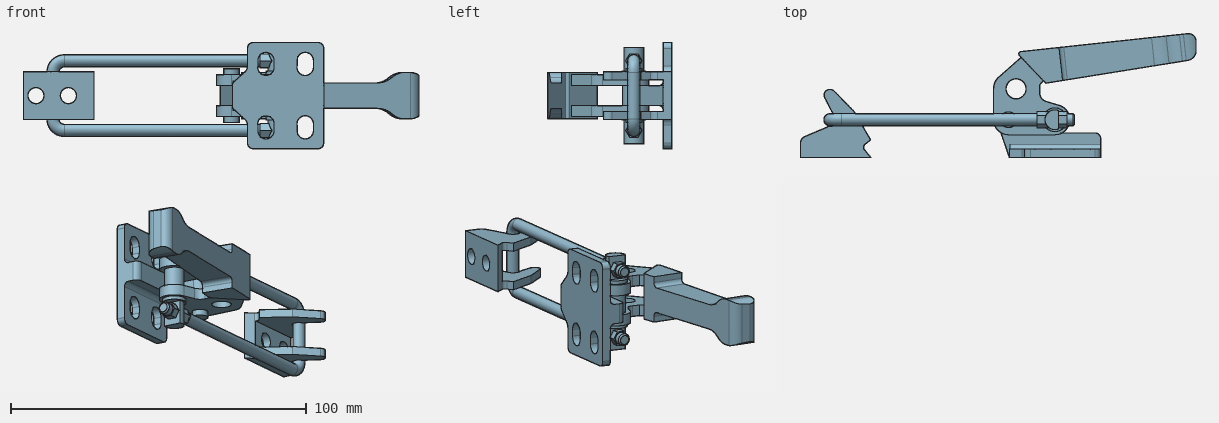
import cadquery as cq
import math

PIN_X = 70.5
BAR_X = 86.1
AXIS_Y = 12.9
PIN_RADIUS = 2.7
BAR_RADIUS = 3.3

KEEPER_WIDTH = 16.2
KEEPER_LENGTH = 24.0
KEEPER_WALL = 2.8
KEEPER_FLOOR = 3.0
KEEPER_HOLE_DIAMETER = 5.4
KEEPER_HOLE_XS = (4.3, 15.3)
KEEPER_SHOULDER_Y = 6.5
KEEPER_SHOULDER_RADIUS = 2.7
HOOK_TIP_X = 10.0
HOOK_TIP_Y = 21.2
HOOK_TIP_RADIUS = 2.0
HOOK_ROOT = (11.0, 15.0)
HOOK_BACK = (18.2, 15.7)
GROOVE_LIP = (9.2, 10.5)
GROOVE_CLEARANCE = 0.1
KEEPER_HEEL = (23.8, 6.0)
KEEPER_NOTCH = (20.9, 3.8)
KEEPER_NOTCH_RADIUS = 1.3

ROD_DIAMETER = 4.2
ROD_RADIUS = ROD_DIAMETER / 2
ROD_Z = 11.8
ROD_LEFT_X = 10.0
ROD_END_X = 92.8
ROD_BEND_RADIUS = 3.9
ROD_END_CHAMFER = 0.5
BAR_HALF_LENGTH = 16.3
BAR_FLAT_OFFSET = 1.2
COLLAR_RADIUS = 4.0
COLLAR_END_Z = 8.3
NUT_SIDES = 6
NUT_CORNER_DIAMETER = 5.5
NUT_LEFT_X = 80.1
NUT_RIGHT_X = 90.1

CHEEK_INNER_Z = 3.3
CHEEK_THICKNESS = 3.8
CHEEK_OUTER_Z = CHEEK_INNER_Z + CHEEK_THICKNESS
CHEEK_RADIUS = 5.1
CHEEK_TOP = (74.7, 34.0)
CHEEK_CORNER_Y = 25.7
CHEEK_CORNER_RADIUS = 5.1
CHEEK_THROAT_X = 81.0
CHEEK_THROAT_TOP = (82.5, 26.4)
CHEEK_THROAT_BEND_Y = 24.6
CHEEK_THROAT_RADIUS = 3.0
CHEEK_THROAT_SLOPE = 17.0
CHEEK_HOLE_DIAMETER = 6.7
CHEEK_HOLE_X = 73.0
CHEEK_HOLE_Y = 23.3

HANDLE_END_X = 133.9
HANDLE_TIP_TOP_Y = 42.3
HANDLE_FRONT = (73.0, 35.8)
HANDLE_FRONT_RADIUS = 0.8
HANDLE_HEEL = (83.0, 25.2)
HANDLE_TIP_BOTTOM_Y = 33.3
TIP_TOP_RADIUS = 2.7
TIP_BOTTOM_RADIUS = 3.5
HANDLE_HALF_WIDTH = 7.9
GRIP_HALF_WIDTH = 4.3
HEAD_LENGTH = 14.6
HEAD_FILLET = 1.6
FLARE_START = 46.1
FLARE_MIDDLE = 51.0
FLARE_MIDDLE_HALF_WIDTH = 6.2
FLARE_END = 55.6
TIP_ROUND_START = 56.9
TIP_HALF_WIDTH = 6.3

PLATE_LEFT_X = 75.8
PLATE_RIGHT_X = 101.7
PLATE_WIDTH = 36.0
PLATE_THICKNESS = 3.0
PLATE_CORNER_RADIUS = 2.0
NOSE_X = 70.7
NOSE_HALF_WIDTH = 4.2
NECK_HALF_WIDTH = 8.8
NECK_FILLET = 2.7
SLOT_WIDTH = 5.5
SLOT_LENGTH = 7.8
SLOT_XS = (82.1, 95.4)
SLOT_Z = 10.7
WEB_HALF_THICKNESS = CHEEK_INNER_Z
WEB_TOP_Y = 8.5
WEB_CORNER_RADIUS = 2.0
WEB_FILLET = 1.6
WEB_FILLET_LEFT_X = 71.0
EAR_RADIUS = 3.9
PIN_HALF_LENGTH = 9.1


def between_z(outline, z_start, z_end):
    """Extrude a closed XY outline between two Z levels."""
    return outline.extrude(z_end - z_start).translate((0, 0, z_start))


def fillet_z_edge(body, point, radius):
    """Round the edge along Z nearest to an XY point."""
    return body.edges("|Z").edges(cq.NearestToPointSelector((*point, 0))).fillet(radius)


def fillet_y_edge(plate, point, radius):
    """Round the edge along Y nearest to an XZ point of the mounting plate."""
    nearest = cq.NearestToPointSelector((point[0], PLATE_THICKNESS / 2, point[1]))
    return plate.edges("|Y").edges(nearest).fillet(radius)


def z_cylinder(x, y, radius, z_start, z_end):
    return between_z(cq.Workplane("XY").center(x, y).circle(radius), z_start, z_end)


def z_shaft(x, y, radius, half_length):
    """Cylinder along Z, centred on the middle plane."""
    return z_cylinder(x, y, radius, -half_length, half_length)


def tangent_point(center, radius, point, side):
    """Point where a line from `point` touches a circle; side is +1 or -1 for the two tangents."""
    dx = point[0] - center[0]
    dy = point[1] - center[1]
    angle = math.atan2(dy, dx) + side * math.acos(radius / math.hypot(dx, dy))
    return center[0] + radius * math.cos(angle), center[1] + radius * math.sin(angle)


def make_keeper():
    half_width = KEEPER_WIDTH / 2
    hook_tip = (HOOK_TIP_X, HOOK_TIP_Y)
    tip_left = tangent_point(hook_tip, HOOK_TIP_RADIUS, HOOK_ROOT, -1)
    tip_right = tangent_point(hook_tip, HOOK_TIP_RADIUS, HOOK_BACK, 1)
    profile = (
        cq.Workplane("XY")
        .polyline([(0, 0), (0, KEEPER_SHOULDER_Y), GROOVE_LIP, HOOK_ROOT, tip_left])
        .threePointArc((HOOK_TIP_X, HOOK_TIP_Y + HOOK_TIP_RADIUS), tip_right)
        .lineTo(*HOOK_BACK)
        .lineTo(*KEEPER_HEEL)
        .lineTo(*KEEPER_NOTCH)
        .lineTo(KEEPER_LENGTH, 0)
        .close()
    )
    keeper = between_z(profile, -half_width, half_width)
    keeper = fillet_z_edge(keeper, (0, KEEPER_SHOULDER_Y), KEEPER_SHOULDER_RADIUS)
    keeper = fillet_z_edge(keeper, KEEPER_NOTCH, KEEPER_NOTCH_RADIUS)

    groove_x = ROD_LEFT_X + GROOVE_CLEARANCE
    groove_radius = ROD_RADIUS + GROOVE_CLEARANCE
    keeper = keeper.cut(z_shaft(groove_x, AXIS_Y, groove_radius, half_width))
    channel = (
        cq.Workplane("XY")
        .box(KEEPER_LENGTH, HOOK_TIP_Y, KEEPER_WIDTH - 2 * KEEPER_WALL, centered=(False, False, True))
        .translate((0, KEEPER_FLOOR, 0))
    )
    holes = (
        cq.Workplane("XZ")
        .pushPoints([(x, 0) for x in KEEPER_HOLE_XS])
        .circle(KEEPER_HOLE_DIAMETER / 2)
        .extrude(-KEEPER_FLOOR)
    )
    return keeper.cut(channel).cut(holes)


def make_bail():
    bend_x = ROD_LEFT_X + ROD_BEND_RADIUS
    bend_z = ROD_Z - ROD_BEND_RADIUS
    diagonal = ROD_BEND_RADIUS * math.sqrt(0.5)
    path = (
        cq.Workplane("XZ", origin=(0, AXIS_Y, 0))
        .moveTo(ROD_END_X, ROD_Z)
        .lineTo(bend_x, ROD_Z)
        .threePointArc((bend_x - diagonal, bend_z + diagonal), (ROD_LEFT_X, bend_z))
        .lineTo(ROD_LEFT_X, -bend_z)
        .threePointArc((bend_x - diagonal, -bend_z - diagonal), (bend_x, -ROD_Z))
        .lineTo(ROD_END_X, -ROD_Z)
    )
    rod = cq.Workplane("YZ", origin=(ROD_END_X, AXIS_Y, ROD_Z)).circle(ROD_RADIUS).sweep(path)
    rod = rod.faces(">X").chamfer(ROD_END_CHAMFER)

    flat_x = BAR_X + BAR_FLAT_OFFSET
    bar = z_shaft(BAR_X, AXIS_Y, BAR_RADIUS, BAR_HALF_LENGTH)
    for side in (-1, 1):
        milled = cq.Workplane("XY").box(BAR_RADIUS, 2 * BAR_RADIUS, BAR_HALF_LENGTH - COLLAR_END_Z)
        middle_z = side * (BAR_HALF_LENGTH + COLLAR_END_Z) / 2
        bar = bar.cut(milled.translate((flat_x + BAR_RADIUS / 2, AXIS_Y, middle_z)))
        inner_z, outer_z = sorted((side * CHEEK_OUTER_Z, side * COLLAR_END_Z))
        bar = bar.union(z_cylinder(BAR_X, AXIS_Y, COLLAR_RADIUS, inner_z, outer_z))

    bail = rod.union(bar)
    for side in (-1, 1):
        for start_x, end_x in ((NUT_LEFT_X, BAR_X), (flat_x, NUT_RIGHT_X)):
            nut = (
                cq.Workplane("YZ", origin=(start_x, AXIS_Y, side * ROD_Z))
                .polygon(NUT_SIDES, NUT_CORNER_DIAMETER)
                .extrude(end_x - start_x)
            )
            bail = bail.union(nut)
    return bail


def make_cheeks():
    """Two parallel plates that carry the pivot pin and the trunnion bar."""
    slope = math.radians(CHEEK_THROAT_SLOPE)
    boss_x = BAR_X + CHEEK_RADIUS * math.sin(slope)
    boss_y = AXIS_Y + CHEEK_RADIUS * math.cos(slope)
    throat_y = boss_y + (boss_x - CHEEK_THROAT_X) * math.tan(slope)
    left_x = PIN_X - CHEEK_RADIUS
    bottom_y = AXIS_Y - CHEEK_RADIUS
    diagonal = CHEEK_RADIUS * math.sqrt(0.5)
    outline = (
        cq.Workplane("XY")
        .moveTo(left_x, AXIS_Y)
        .lineTo(left_x, CHEEK_CORNER_Y)
        .lineTo(*CHEEK_TOP)
        .lineTo(*CHEEK_THROAT_TOP)
        .lineTo(CHEEK_THROAT_X, CHEEK_THROAT_BEND_Y)
        .lineTo(CHEEK_THROAT_X, throat_y)
        .lineTo(boss_x, boss_y)
        .threePointArc((BAR_X + diagonal, AXIS_Y - diagonal), (BAR_X, bottom_y))
        .lineTo(PIN_X, bottom_y)
        .threePointArc((PIN_X - diagonal, AXIS_Y - diagonal), (left_x, AXIS_Y))
        .close()
    )
    block = between_z(outline, -CHEEK_OUTER_Z, CHEEK_OUTER_Z)
    block = fillet_z_edge(block, (left_x, CHEEK_CORNER_Y), CHEEK_CORNER_RADIUS)
    block = fillet_z_edge(block, (CHEEK_THROAT_X, throat_y), CHEEK_THROAT_RADIUS)

    gap = cq.Workplane("XY").rect(2 * HANDLE_END_X, 2 * HANDLE_TIP_TOP_Y).extrude(CHEEK_INNER_Z, both=True)
    pin_hole = z_shaft(PIN_X, AXIS_Y, PIN_RADIUS, CHEEK_OUTER_Z)
    bar_hole = z_shaft(BAR_X, AXIS_Y, BAR_RADIUS, CHEEK_OUTER_Z)
    open_hole = z_shaft(CHEEK_HOLE_X, CHEEK_HOLE_Y, CHEEK_HOLE_DIAMETER / 2, CHEEK_OUTER_Z)
    return block.cut(gap).cut(pin_hole).cut(bar_hole).cut(open_hole)


def make_handle():
    """Side profile of the handle, trimmed to its plan outline."""
    tip_top = (HANDLE_END_X, HANDLE_TIP_TOP_Y)
    tip_bottom = (HANDLE_END_X, HANDLE_TIP_BOTTOM_Y)
    profile = cq.Workplane("XY").polyline([HANDLE_FRONT, tip_top, tip_bottom, HANDLE_HEEL]).close()
    body = between_z(profile, -HANDLE_HALF_WIDTH, HANDLE_HALF_WIDTH)
    body = fillet_z_edge(body, HANDLE_FRONT, HANDLE_FRONT_RADIUS)
    body = fillet_z_edge(body, tip_top, TIP_TOP_RADIUS)
    body = fillet_z_edge(body, tip_bottom, TIP_BOTTOM_RADIUS)

    rise = HANDLE_TIP_TOP_Y - HANDLE_FRONT[1]
    run = HANDLE_END_X - HANDLE_FRONT[0]
    length = math.hypot(rise, run)
    plan_plane = cq.Plane(origin=(*HANDLE_FRONT, 0), xDir=(run, rise, 0), normal=(rise, -run, 0))
    half_plan = (
        cq.Workplane(plan_plane)
        .moveTo(-length, 0)
        .lineTo(-length, HANDLE_HALF_WIDTH)
        .lineTo(HEAD_LENGTH, HANDLE_HALF_WIDTH)
        .lineTo(HEAD_LENGTH, GRIP_HALF_WIDTH + HEAD_FILLET)
        .tangentArcPoint((HEAD_LENGTH + HEAD_FILLET, GRIP_HALF_WIDTH), relative=False)
        .lineTo(FLARE_START, GRIP_HALF_WIDTH)
        .tangentArcPoint((FLARE_MIDDLE, FLARE_MIDDLE_HALF_WIDTH), relative=False)
        .tangentArcPoint((FLARE_END, HANDLE_HALF_WIDTH), relative=False)
        .lineTo(TIP_ROUND_START, HANDLE_HALF_WIDTH)
        .tangentArcPoint((length, TIP_HALF_WIDTH), relative=False)
        .lineTo(length + TIP_TOP_RADIUS, TIP_HALF_WIDTH)
        .lineTo(length + TIP_TOP_RADIUS, 0)
        .close()
        .extrude(HANDLE_END_X, both=True)
    )
    plan = half_plan.union(half_plan.mirror("XY"))
    return body.intersect(plan)


def make_lever():
    return make_handle().union(make_cheeks())


def make_plate():
    """Mounting plate with a narrowed nose and four mounting slots."""
    half_width = PLATE_WIDTH / 2
    half_outline = [
        (NOSE_X, NOSE_HALF_WIDTH),
        (PLATE_LEFT_X, NECK_HALF_WIDTH),
        (PLATE_LEFT_X, half_width),
        (PLATE_RIGHT_X, half_width),
    ]
    mirrored = [(x, -z) for x, z in reversed(half_outline)]
    plate = cq.Workplane("XZ").polyline(half_outline + mirrored).close().extrude(-PLATE_THICKNESS)
    for side in (-1, 1):
        plate = fillet_y_edge(plate, (PLATE_LEFT_X, side * NECK_HALF_WIDTH), NECK_FILLET)
        for x in (PLATE_LEFT_X, PLATE_RIGHT_X):
            plate = fillet_y_edge(plate, (x, side * half_width), PLATE_CORNER_RADIUS)
    slots = (
        cq.Workplane("XZ")
        .pushPoints([(x, side * SLOT_Z) for x in SLOT_XS for side in (-1, 1)])
        .slot2D(SLOT_LENGTH, SLOT_WIDTH, 90)
        .extrude(-PLATE_THICKNESS)
    )
    return plate.cut(slots)


def make_web():
    """Upright web whose rounded ear sits between the lever cheeks, with its root fillets."""
    ear_left = tangent_point((PIN_X, AXIS_Y), EAR_RADIUS, (NOSE_X, 0), -1)
    outline = (
        cq.Workplane("XY")
        .moveTo(NOSE_X, 0)
        .lineTo(*ear_left)
        .threePointArc((PIN_X, AXIS_Y + EAR_RADIUS), (PIN_X + EAR_RADIUS, AXIS_Y))
        .lineTo(PIN_X + EAR_RADIUS, WEB_TOP_Y)
        .lineTo(PLATE_RIGHT_X, WEB_TOP_Y)
        .lineTo(PLATE_RIGHT_X, 0)
        .close()
    )
    web = between_z(outline, -WEB_HALF_THICKNESS, WEB_HALF_THICKNESS)
    web = fillet_z_edge(web, (PLATE_RIGHT_X, WEB_TOP_Y), WEB_CORNER_RADIUS)

    arc_inset = WEB_FILLET * (1 - math.sqrt(0.5))
    for side in (-1, 1):
        root_z = side * WEB_HALF_THICKNESS
        toe_z = side * (WEB_HALF_THICKNESS + WEB_FILLET)
        fillet = (
            cq.Workplane("YZ", origin=(WEB_FILLET_LEFT_X, 0, 0))
            .moveTo(PLATE_THICKNESS, root_z)
            .lineTo(PLATE_THICKNESS + WEB_FILLET, root_z)
            .threePointArc((PLATE_THICKNESS + arc_inset, root_z + side * arc_inset), (PLATE_THICKNESS, toe_z))
            .close()
        )
        web = web.union(fillet.extrude(PLATE_RIGHT_X - WEB_FILLET_LEFT_X))
    return web


def make_base():
    pin = z_shaft(PIN_X, AXIS_Y, PIN_RADIUS, PIN_HALF_LENGTH)
    return make_plate().union(make_web()).union(pin)


keeper = make_keeper()
bail = make_bail()
lever = make_lever()
base = make_base()

result = cq.Compound.makeCompound([
    keeper.solids().val(),
    bail.solids().val(),
    lever.solids().val(),
    base.solids().val(),
])